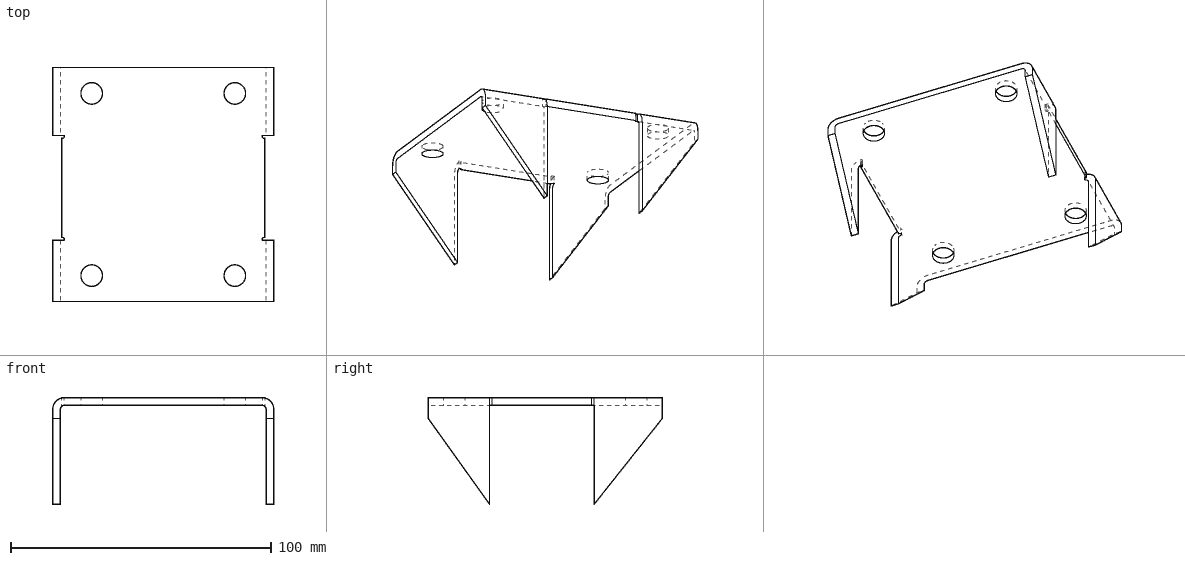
import cadquery as cq

width = 85.0
length = 90.0
height = 41.0

thickness = 3.0
inner_radius = 1.5
outer_radius = inner_radius + thickness

rear_leg_length = 26.2
leg_gap = 40.2
leg_end_height = 8.0

middle_edge_offset = 1.0
relief_floor_offset = 0.1
relief_width = 1.0
relief_corner_radius = 0.5

hole_diameter = 8.2
hole_spacing_x = 55.0
hole_spacing_y = 70.0

half_width = width / 2
half_length = length / 2
bend_line_x = half_width - outer_radius
rear_leg_inner_y = half_length - rear_leg_length
front_leg_inner_y = rear_leg_inner_y - leg_gap


def make_plate():
    """Flat top plate between the two bend lines."""
    return cq.Workplane("XY").rect(2 * bend_line_x, length).extrude(-thickness)


def make_gap_edge():
    """Strip of plate outside the +X bend line, between the legs, notched at both ends."""
    floor_x = bend_line_x + relief_floor_offset
    edge_x = bend_line_x + middle_edge_offset
    front_step_y = front_leg_inner_y + relief_width
    rear_step_y = rear_leg_inner_y - relief_width
    radius = relief_corner_radius
    return (
        cq.Workplane("XY")
        .moveTo(bend_line_x, front_leg_inner_y)
        .lineTo(floor_x, front_leg_inner_y)
        .lineTo(floor_x, front_step_y - radius)
        .radiusArc((floor_x + radius, front_step_y), radius)
        .lineTo(edge_x, front_step_y)
        .lineTo(edge_x, rear_step_y)
        .lineTo(floor_x + radius, rear_step_y)
        .radiusArc((floor_x, rear_step_y + radius), radius)
        .lineTo(floor_x, rear_leg_inner_y)
        .lineTo(bend_line_x, rear_leg_inner_y)
        .close()
        .extrude(-thickness)
    )


def make_bent_leg(inner_y, end_y):
    """Bend and pointed leg on the +X side, vertical at inner_y and sloped towards end_y."""
    bend_and_flange = (
        cq.Workplane("XZ")
        .moveTo(bend_line_x, 0)
        .radiusArc((half_width, -outer_radius), outer_radius)
        .lineTo(half_width, -height)
        .lineTo(half_width - thickness, -height)
        .lineTo(half_width - thickness, -outer_radius)
        .radiusArc((bend_line_x, -thickness), -inner_radius)
        .close()
        .extrude(half_length, both=True)
    )
    side_outline = (
        cq.Workplane("YZ")
        .polyline([(inner_y, 0), (end_y, 0), (end_y, -leg_end_height), (inner_y, -height)])
        .close()
        .extrude(half_width)
    )
    return bend_and_flange.intersect(side_outline)


def drill_mounting_holes(body):
    """Four through holes on a rectangular pattern centred on the plate."""
    holes = (
        cq.Workplane("XY")
        .rect(hole_spacing_x, hole_spacing_y, forConstruction=True)
        .vertices()
        .circle(hole_diameter / 2)
        .extrude(-thickness)
    )
    return body.cut(holes)


side_pieces = [
    make_gap_edge(),
    make_bent_leg(rear_leg_inner_y, half_length),
    make_bent_leg(front_leg_inner_y, -half_length),
]

bracket = make_plate()
for piece in side_pieces:
    bracket = bracket.union(piece).union(piece.mirror("YZ"))

result = drill_mounting_holes(bracket)